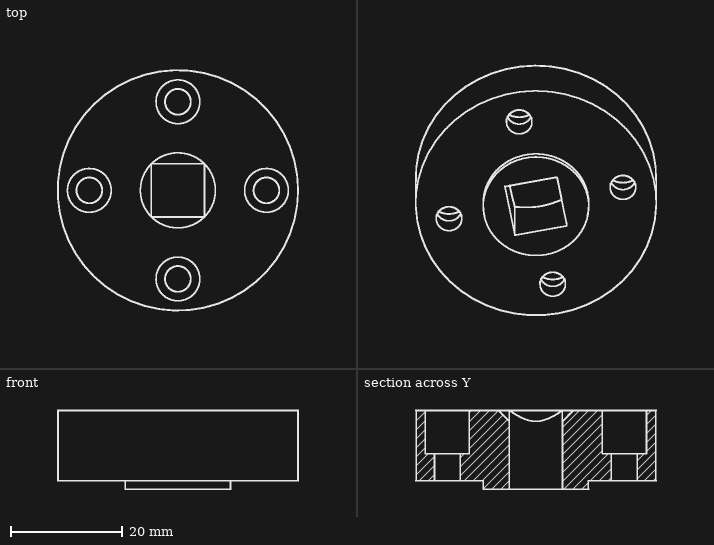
import cadquery as cq
import math

disc_diameter = 43.2
disc_height = 12.65
boss_diameter = 18.95
boss_height = 1.55
square_side = 9.5
lead_in_diameter = 13.47
lead_in_angle = 45.0
bolt_circle_diameter = 31.8
bolt_count = 4
bolt_hole_diameter = 4.58
counterbore_diameter = 7.85
counterbore_depth = 7.77

total_height = disc_height + boss_height


def make_body():
    """Disc standing on z = 0 with a centring boss below it."""
    disc = cq.Workplane("XY").circle(disc_diameter / 2).extrude(disc_height)
    boss = cq.Workplane("XY").circle(boss_diameter / 2).extrude(-boss_height)
    return disc.union(boss)


def make_square_bore():
    """Square drive hole through the disc and boss."""
    return (
        cq.Workplane("XY")
        .workplane(offset=-boss_height)
        .rect(square_side, square_side)
        .extrude(total_height)
    )


def make_lead_in():
    """Countersink cone, point down, that eases the mouth of the square."""
    radius = lead_in_diameter / 2
    depth = radius * math.tan(math.radians(lead_in_angle))
    cone = cq.Solid.makeCone(
        radius, 0, depth, pnt=cq.Vector(0, 0, disc_height), dir=cq.Vector(0, 0, -1)
    )
    return cq.Workplane(obj=cone)


def cut_bolt_holes(body):
    """Counterbored holes, evenly spaced with the first on the X axis."""
    return (
        body.faces(">Z")
        .workplane(origin=(0, 0, disc_height))
        .polarArray(bolt_circle_diameter / 2, 0, 360, bolt_count)
        .cboreHole(bolt_hole_diameter, counterbore_diameter, counterbore_depth)
    )


result = cut_bolt_holes(make_body()).cut(make_square_bore()).cut(make_lead_in())